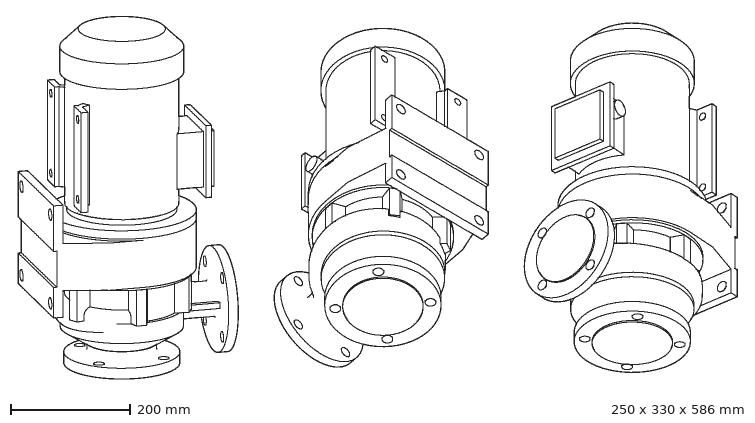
import cadquery as cq
import math


FACE_LIP = 3.0
SUCTION_FLANGE_TOP = 22.0
NECK_TOP = 39.5
CONE_TOP = 67.0
CASING_TOP = 101.0
DISCHARGE_Z = 100.3
LANTERN_RIM_Z = 164.0
LANTERN_BOTTOM = 170.0
LANTERN_TOP = 256.0
MOTOR_FLANGE_TOP = 270.5
MOTOR_NECK_TOP = 281.0
COWL_BOTTOM = 511.5
COWL_SHOULDER = 556.0
TOTAL_HEIGHT = 586.0

BODY_RADIUS = 125.0
LANTERN_RIM_RADIUS = 118.5
HUB_RADIUS = 96.0
CASING_RADIUS = 103.5
NECK_RADIUS = 58.5
CONE_SMALL_RADIUS = 60.0
MOTOR_NECK_RADIUS = 92.3
MOTOR_RADIUS = 95.5
COWL_RADIUS = 104.0
COWL_TOP_RADIUS = 73.0

SUCTION_RADIUS = 97.5
SUCTION_FACE_RADIUS = 67.5
SUCTION_BOLT_RADIUS = 80.0
SUCTION_FILLET = 5.0
DISCHARGE_RADIUS = 90.0
DISCHARGE_FACE_RADIUS = 61.5
DISCHARGE_BOLT_RADIUS = 72.5
DISCHARGE_FACE_Y = 180.0
DISCHARGE_FLANGE_BACK_Y = 160.0
BOLT_HOLE_DIAMETER = 18.0
BOLT_COUNT = 4
FIRST_BOLT_ANGLE = 45.0

VOLUTE_HEIGHT = 49.0
VOLUTE_EDGE_RADIUS = 14.0
VOLUTE_RIGHT_X = 103.0
VOLUTE_LEFT_X = -119.0
PIPE_LEFT_X = -38.0
PIPE_RIGHT_X = 31.0
PIPE_STRAIGHT_START_Y = 150.0
BEND_CHANGE_SHARE = 0.79
PIPE_INNER_END_Y = 80.0
FLARE_RADIUS = 7.0
TONGUE_X = 40.0
TONGUE_THICKNESS = 10.0

RIB_COUNT = 6
RIB_THICKNESS = 17.5
RIB_OUTER_X = 117.5
RIB_ROOT_THICKNESS = 33.0
RIB_ROOT_X = 95.0

FOOT_FACE_Y = -150.0
FOOT_PLATE_THICKNESS = 16.5
FOOT_PLATE_WIDTH = 210.0
FOOT_PLATE_BOTTOM = 123.5
FOOT_PLATE_TOP = 319.5
FOOT_BLOCK_TOP = 252.5
FOOT_TAPER_Y = -58.5
FOOT_RECESS_DEPTH = 5.5
FOOT_RECESS_BOTTOM = 177.0
FOOT_RECESS_TOP = 240.0
FOOT_HOLE_DIAMETER = 19.0
FOOT_HOLE_X = 85.0
FOOT_HOLE_LEVELS = (143.5, 298.5)

MOTOR_FOOT_BOTTOM = 302.0
MOTOR_FOOT_LENGTH = 174.5
PAD_INNER_X = 57.0
PAD_OUTER_X = 100.0
PAD_FACE_Y = -100.5
PAD_BACK_Y = -88.5
WEB_OUTER_X = 67.5
WEB_INNER_Y = -93.0
WEB_OUTER_ROOT = (58.5, -71.0)
WEB_INNER_ROOT = (44.0, -77.5)
MOTOR_FOOT_HOLE_DIAMETER = 13.0
MOTOR_FOOT_HOLE_X = 79.5
MOTOR_FOOT_HOLE_INSET = 17.5

BOX_WIDTH = 97.0
BOX_Z = 361.0
BOX_TOP_Y = 147.0
LID_WIDTH = 126.0
LID_NEAR_Y = 128.0
LID_FAR_Y = 138.0
GLAND_DIAMETER = 29.0
GLAND_LENGTH = 14.5
GLAND_Y = 111.5
GLAND_Z = 385.0


def cylinder(radius, bottom, top):
    return cq.Workplane("XY").workplane(offset=bottom).circle(radius).extrude(top - bottom)


def box_between(x_range, y_range, z_range):
    size = [high - low for low, high in (x_range, y_range, z_range)]
    corner = (x_range[0], y_range[0], z_range[0])
    return cq.Workplane("XY").box(*size, centered=False).translate(corner)


def mirrored_pair(x):
    return (-x, x)


def suction_and_casing():
    """Suction flange, neck, cone and casing drum as one turned shape."""
    fillet_mid = SUCTION_FILLET * (1 - math.sqrt(0.5))
    turned = (
        cq.Workplane("XZ")
        .moveTo(0, 0)
        .lineTo(SUCTION_FACE_RADIUS, 0)
        .lineTo(SUCTION_FACE_RADIUS, FACE_LIP)
        .lineTo(SUCTION_RADIUS, FACE_LIP)
        .lineTo(SUCTION_RADIUS, SUCTION_FLANGE_TOP)
        .lineTo(NECK_RADIUS + SUCTION_FILLET, SUCTION_FLANGE_TOP)
        .threePointArc(
            (NECK_RADIUS + fillet_mid, SUCTION_FLANGE_TOP + fillet_mid),
            (NECK_RADIUS, SUCTION_FLANGE_TOP + SUCTION_FILLET),
        )
        .lineTo(NECK_RADIUS, NECK_TOP)
        .lineTo(CONE_SMALL_RADIUS, NECK_TOP)
        .lineTo(CASING_RADIUS, CONE_TOP)
        .lineTo(CASING_RADIUS, CASING_TOP)
        .lineTo(0, CASING_TOP)
        .close()
        .revolve(360, (0, 0, 0), (0, 1, 0))
    )
    bolt_holes = (
        cq.Workplane("XY")
        .polarArray(SUCTION_BOLT_RADIUS, FIRST_BOLT_ANGLE, 360, BOLT_COUNT)
        .circle(BOLT_HOLE_DIAMETER / 2)
        .extrude(SUCTION_FLANGE_TOP)
    )
    return turned.cut(bolt_holes)


def volute():
    """Passage that widens around the casing and swings over to the discharge."""
    spiral_radius = (VOLUTE_RIGHT_X - VOLUTE_LEFT_X) / 2
    spiral_center_x = (VOLUTE_RIGHT_X + VOLUTE_LEFT_X) / 2
    bend_change = (
        VOLUTE_LEFT_X + BEND_CHANGE_SHARE * (PIPE_LEFT_X - VOLUTE_LEFT_X),
        BEND_CHANGE_SHARE * PIPE_STRAIGHT_START_Y,
    )
    passage = (
        cq.Workplane("XY")
        .workplane(offset=DISCHARGE_Z - VOLUTE_HEIGHT / 2)
        .moveTo(VOLUTE_RIGHT_X, 0)
        .threePointArc((spiral_center_x, -spiral_radius), (VOLUTE_LEFT_X, 0))
        .tangentArcPoint(bend_change, relative=False)
        .tangentArcPoint((PIPE_LEFT_X, PIPE_STRAIGHT_START_Y), relative=False)
        .lineTo(PIPE_LEFT_X, DISCHARGE_FLANGE_BACK_Y)
        .lineTo(PIPE_RIGHT_X, DISCHARGE_FLANGE_BACK_Y)
        .lineTo(PIPE_RIGHT_X, PIPE_INNER_END_Y)
        .lineTo(0, PIPE_INNER_END_Y)
        .lineTo(0, 0)
        .close()
        .extrude(VOLUTE_HEIGHT)
    )
    right_wall = passage.edges("|Y").edges(">X")
    return passage.edges("%CIRCLE").add(right_wall).fillet(VOLUTE_EDGE_RADIUS)


def discharge_flange():
    plane = cq.Workplane("XZ", origin=(0, DISCHARGE_FACE_Y, DISCHARGE_Z))
    face = plane.circle(DISCHARGE_FACE_RADIUS).extrude(FACE_LIP)
    disc = (
        plane.workplane(offset=FACE_LIP)
        .circle(DISCHARGE_RADIUS)
        .extrude(DISCHARGE_FACE_Y - DISCHARGE_FLANGE_BACK_Y - FACE_LIP)
    )
    bolt_holes = (
        plane.polarArray(DISCHARGE_BOLT_RADIUS, FIRST_BOLT_ANGLE, 360, BOLT_COUNT)
        .circle(BOLT_HOLE_DIAMETER / 2)
        .extrude(DISCHARGE_FACE_Y - DISCHARGE_FLANGE_BACK_Y)
    )
    return face.union(disc).cut(bolt_holes)


def tongue():
    return box_between(
        (0, TONGUE_X),
        (0, DISCHARGE_FLANGE_BACK_Y),
        (DISCHARGE_Z - TONGUE_THICKNESS / 2, DISCHARGE_Z + TONGUE_THICKNESS / 2),
    )


def lantern():
    drum = cylinder(BODY_RADIUS, LANTERN_BOTTOM, LANTERN_TOP)
    rim = cylinder(LANTERN_RIM_RADIUS, LANTERN_RIM_Z, LANTERN_BOTTOM)
    hub = cylinder(HUB_RADIUS, CASING_TOP, LANTERN_RIM_Z)
    shape = drum.union(rim).union(hub)
    rib = (
        cq.Workplane("XY")
        .workplane(offset=CASING_TOP)
        .polyline([
            (0, -RIB_ROOT_THICKNESS / 2),
            (RIB_ROOT_X, -RIB_ROOT_THICKNESS / 2),
            (RIB_OUTER_X, -RIB_THICKNESS / 2),
            (RIB_OUTER_X, RIB_THICKNESS / 2),
            (RIB_ROOT_X, RIB_ROOT_THICKNESS / 2),
            (0, RIB_ROOT_THICKNESS / 2),
        ])
        .close()
        .extrude(LANTERN_RIM_Z - CASING_TOP)
    )
    for i in range(RIB_COUNT):
        shape = shape.union(rib.rotate((0, 0, 0), (0, 0, 1), i * 360 / RIB_COUNT))
    return shape


def mounting_foot():
    plate_back_y = FOOT_FACE_Y + FOOT_PLATE_THICKNESS
    half_width = FOOT_PLATE_WIDTH / 2
    block = (
        cq.Workplane("XY")
        .workplane(offset=LANTERN_BOTTOM)
        .polyline([
            (-BODY_RADIUS, 0),
            (-BODY_RADIUS, FOOT_TAPER_Y),
            (-half_width, plate_back_y),
            (half_width, plate_back_y),
            (BODY_RADIUS, FOOT_TAPER_Y),
            (BODY_RADIUS, 0),
        ])
        .close()
        .extrude(FOOT_BLOCK_TOP - LANTERN_BOTTOM)
    )
    plate = box_between(
        mirrored_pair(half_width),
        (FOOT_FACE_Y, plate_back_y),
        (FOOT_PLATE_BOTTOM, FOOT_PLATE_TOP),
    )
    recess = box_between(
        mirrored_pair(half_width),
        (FOOT_FACE_Y, FOOT_FACE_Y + FOOT_RECESS_DEPTH),
        (FOOT_RECESS_BOTTOM, FOOT_RECESS_TOP),
    )
    holes = (
        cq.Workplane("XZ", origin=(0, plate_back_y, 0))
        .pushPoints([(x, z) for x in mirrored_pair(FOOT_HOLE_X) for z in FOOT_HOLE_LEVELS])
        .circle(FOOT_HOLE_DIAMETER / 2)
        .extrude(FOOT_PLATE_THICKNESS)
    )
    return block.union(plate.cut(recess).cut(holes))


def make_pump():
    pipe = volute().union(discharge_flange())
    margin = 1.0
    half_height = VOLUTE_HEIGHT / 2 + margin
    flare_edges = cq.selectors.BoxSelector(
        (PIPE_LEFT_X - margin, DISCHARGE_FLANGE_BACK_Y - margin, DISCHARGE_Z - half_height),
        (PIPE_RIGHT_X + margin, DISCHARGE_FLANGE_BACK_Y + margin, DISCHARGE_Z + half_height),
        boundingbox=True,
    )
    pipe = pipe.edges(flare_edges).fillet(FLARE_RADIUS)
    return (
        suction_and_casing()
        .union(lantern())
        .union(pipe)
        .union(tongue())
        .union(mounting_foot())
    )


def motor_shell():
    """Flange, neck, frame and fan cowl as one turned shape."""
    return (
        cq.Workplane("XZ")
        .polyline([
            (0, LANTERN_TOP),
            (BODY_RADIUS, LANTERN_TOP),
            (BODY_RADIUS, MOTOR_FLANGE_TOP),
            (MOTOR_NECK_RADIUS, MOTOR_FLANGE_TOP),
            (MOTOR_NECK_RADIUS, MOTOR_NECK_TOP),
            (MOTOR_RADIUS, MOTOR_NECK_TOP),
            (MOTOR_RADIUS, COWL_BOTTOM),
            (COWL_RADIUS, COWL_BOTTOM),
            (COWL_RADIUS, COWL_SHOULDER),
            (COWL_TOP_RADIUS, TOTAL_HEIGHT),
            (0, TOTAL_HEIGHT),
        ])
        .close()
        .revolve(360, (0, 0, 0), (0, 1, 0))
    )


def motor_foot():
    """Foot on the +X side: a flat pad on a slanted web."""
    section = [
        (PAD_INNER_X, PAD_FACE_Y),
        (PAD_OUTER_X, PAD_FACE_Y),
        (PAD_OUTER_X, PAD_BACK_Y),
        (WEB_OUTER_X, PAD_BACK_Y),
        WEB_OUTER_ROOT,
        WEB_INNER_ROOT,
        (PAD_INNER_X, WEB_INNER_Y),
    ]
    hole_levels = (
        MOTOR_FOOT_BOTTOM + MOTOR_FOOT_HOLE_INSET,
        MOTOR_FOOT_BOTTOM + MOTOR_FOOT_LENGTH - MOTOR_FOOT_HOLE_INSET,
    )
    foot = (
        cq.Workplane("XY")
        .workplane(offset=MOTOR_FOOT_BOTTOM)
        .polyline(section)
        .close()
        .extrude(MOTOR_FOOT_LENGTH)
    )
    holes = (
        cq.Workplane("XZ", origin=(0, PAD_BACK_Y, 0))
        .pushPoints([(MOTOR_FOOT_HOLE_X, z) for z in hole_levels])
        .circle(MOTOR_FOOT_HOLE_DIAMETER / 2)
        .extrude(PAD_BACK_Y - PAD_FACE_Y)
    )
    return foot.cut(holes)


def terminal_box():
    half_box = BOX_WIDTH / 2
    half_lid = LID_WIDTH / 2
    housing = box_between(
        mirrored_pair(half_box),
        (0, BOX_TOP_Y),
        (BOX_Z - half_box, BOX_Z + half_box),
    )
    lid = box_between(
        mirrored_pair(half_lid),
        (LID_NEAR_Y, LID_FAR_Y),
        (BOX_Z - half_lid, BOX_Z + half_lid),
    )
    gland = (
        cq.Workplane("YZ", origin=(-half_box - GLAND_LENGTH, GLAND_Y, GLAND_Z))
        .circle(GLAND_DIAMETER / 2)
        .extrude(GLAND_LENGTH)
    )
    return housing.union(lid).union(gland)


def make_motor():
    right_foot = motor_foot()
    left_foot = right_foot.mirror("YZ")
    return motor_shell().union(terminal_box()).union(right_foot).union(left_foot)


pump = make_pump()
motor = make_motor()
result = cq.Compound.makeCompound([pump.val(), motor.val()])